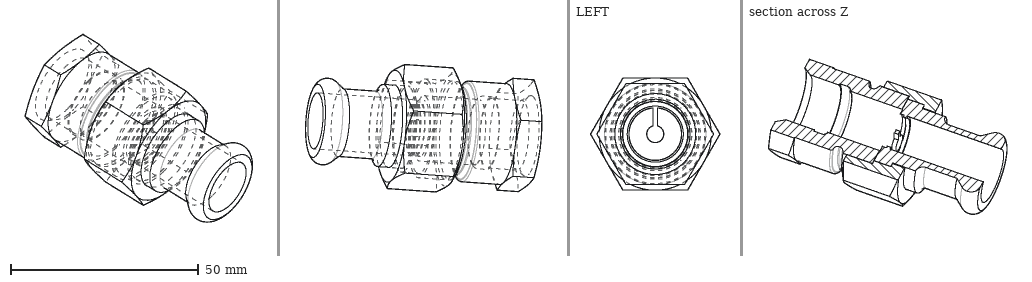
import cadquery as cq
import math

total_length = 59.0

tail_hex_across_flats = 27.0
tail_hex_length = 6.95
tail_hex_chamfer_angle = 15.0
barrel_radius = 27.0 / 2
barrel_end = 17.95
barrel_rounding = 0.5
neck_radius = 23.4 / 2
neck_fillet = 1.05
neck_land = 0.35
collar_radius = 26.45 / 2
collar_bevel_angle = 58.0
tail_end = 29.5

mouth_radius = 21.6 / 2
mouth_depth = 2.35
socket_radius = 18.65 / 2
thread_end = 10.75
relief_radius = 9.75
relief_end = 14.2
relief_fillet = 1.05
tail_bore_radius = 17.5 / 2

nut_start = 21.9
nut_end = 37.95
nut_across_flats = 30.0
nut_chamfer_angle = 30.0
nut_shoulder = 34.2
nut_opening_radius = 22.1 / 2

flange_radius = 24.15 / 2
spigot_collar_radius = 22.0 / 2
spigot_collar_end = 41.0
pipe_radius = 18.2 / 2
collar_fillet = spigot_collar_radius - pipe_radius
bead_start = 52.1
bead_cone_end = 54.5
bead_cone_radius = 11.0
bead_crest_position = 56.2
bead_crest_radius = 23.25 / 2
bead_tip_radius = 9.8
spigot_bore_radius = 15.0 / 2

ring_inner_radius = 14.0 / 2
ring_start = tail_end + 1.2
ring_thickness = 1.2
stem_width = 1.3
disc_radius = 2.3


def revolve_profile(profile):
    """Turn a closed (axial, radial) profile about the X axis."""
    return profile.close().revolve(360, (0, 0, 0), (1, 0, 0))


def cylinder(start, end, radius):
    return cq.Workplane("YZ").workplane(offset=start).circle(radius).extrude(end - start)


def chamfered_hexagon(start, end, across_flats, chamfer_angle):
    """Hexagon with corners on Y, whose conical end chamfers just touch its flats."""
    corner_radius = across_flats / math.sqrt(3)
    flat_radius = across_flats / 2
    chamfer_length = (corner_radius - flat_radius) * math.tan(math.radians(chamfer_angle))
    hexagon = (
        cq.Workplane("YZ").workplane(offset=start)
        .polygon(6, 2 * corner_radius).extrude(end - start)
    )
    envelope = revolve_profile(
        cq.Workplane("XY").moveTo(start, 0)
        .lineTo(start, flat_radius)
        .lineTo(start + chamfer_length, corner_radius)
        .lineTo(end - chamfer_length, corner_radius)
        .lineTo(end, flat_radius)
        .lineTo(end, 0)
    )
    return hexagon.intersect(envelope)


def point_on_arc(center, radius, angle):
    """Point on an arc at an angle measured from the axial direction."""
    turn = math.radians(angle)
    return center[0] + radius * math.cos(turn), center[1] + radius * math.sin(turn)


def tail_body():
    """Barrel, necked groove and collar, in profile from the hexagon to the inner end."""
    round_center = (barrel_end - barrel_rounding, barrel_radius - barrel_rounding)
    left_center = (barrel_end + neck_fillet, neck_radius + neck_fillet)
    right_center = (left_center[0] + neck_land, left_center[1])
    bevel_start = point_on_arc(right_center, neck_fillet, collar_bevel_angle - 90)
    bevel_rise = collar_radius - bevel_start[1]
    bevel_end = bevel_start[0] + bevel_rise / math.tan(math.radians(collar_bevel_angle))
    return revolve_profile(
        cq.Workplane("XY").moveTo(tail_hex_length, 0)
        .lineTo(tail_hex_length, barrel_radius)
        .lineTo(round_center[0], barrel_radius)
        .threePointArc(point_on_arc(round_center, barrel_rounding, 45), (barrel_end, round_center[1]))
        .lineTo(barrel_end, left_center[1])
        .threePointArc(point_on_arc(left_center, neck_fillet, 225), (left_center[0], neck_radius))
        .lineTo(right_center[0], neck_radius)
        .threePointArc(point_on_arc(right_center, neck_fillet, collar_bevel_angle / 2 - 90), bevel_start)
        .lineTo(bevel_end, collar_radius)
        .lineTo(tail_end, collar_radius)
        .lineTo(tail_end, 0)
    )


def tail_socket():
    """Flared mouth, threaded length, rounded thread relief and through bore."""
    relief_center = (relief_end - relief_fillet, relief_radius - relief_fillet)
    relief_arc_middle = point_on_arc(relief_center, relief_fillet, 45)
    return revolve_profile(
        cq.Workplane("XY").moveTo(0, 0)
        .lineTo(0, mouth_radius)
        .lineTo(mouth_depth, socket_radius)
        .lineTo(thread_end, socket_radius)
        .lineTo(thread_end, relief_radius)
        .lineTo(relief_center[0], relief_radius)
        .threePointArc(relief_arc_middle, (relief_end, relief_center[1]))
        .lineTo(relief_end, tail_bore_radius)
        .lineTo(tail_end, tail_bore_radius)
        .lineTo(tail_end, 0)
    )


def make_tail():
    hexagon = chamfered_hexagon(0, tail_hex_length, tail_hex_across_flats, tail_hex_chamfer_angle)
    return hexagon.union(tail_body()).cut(tail_socket())


def make_nut():
    """Nut that holds the tail collar and traps the spigot flange behind its shoulder."""
    nut = chamfered_hexagon(nut_start, nut_end, nut_across_flats, nut_chamfer_angle)
    nut = nut.cut(cylinder(nut_start, tail_end, collar_radius))
    nut = nut.cut(cylinder(tail_end, nut_shoulder, flange_radius))
    return nut.cut(cylinder(nut_shoulder, nut_end, nut_opening_radius))


def spigot_body():
    fillet_center = (spigot_collar_end + collar_fillet, spigot_collar_radius)
    return revolve_profile(
        cq.Workplane("XY").moveTo(tail_end, spigot_bore_radius)
        .lineTo(tail_end, flange_radius)
        .lineTo(nut_shoulder, flange_radius)
        .lineTo(nut_shoulder, spigot_collar_radius)
        .lineTo(spigot_collar_end, spigot_collar_radius)
        .threePointArc(point_on_arc(fillet_center, collar_fillet, 225), (fillet_center[0], pipe_radius))
        .lineTo(bead_start, pipe_radius)
        .lineTo(bead_cone_end, bead_cone_radius)
        .threePointArc((bead_crest_position, bead_crest_radius), (total_length, bead_tip_radius))
        .lineTo(total_length, spigot_bore_radius)
    )


def spigot_paddle():
    """Ring lining the bore, with a stem hanging from its top and a disc on the axis."""
    ring_end = ring_start + ring_thickness
    ring = cylinder(ring_start, ring_end, spigot_bore_radius)
    ring = ring.cut(cylinder(ring_start, ring_end, ring_inner_radius))
    stem_length = (spigot_bore_radius + ring_inner_radius) / 2
    stem = (
        cq.Workplane("YZ").workplane(offset=ring_start)
        .center(0, stem_length / 2).rect(stem_width, stem_length).extrude(ring_thickness)
    )
    return ring.union(stem).union(cylinder(ring_start, ring_end, disc_radius))


def make_spigot():
    return spigot_body().union(spigot_paddle())


tail = make_tail()
nut = make_nut()
spigot = make_spigot()
result = cq.Compound.makeCompound([tail.val(), nut.val(), spigot.val()])